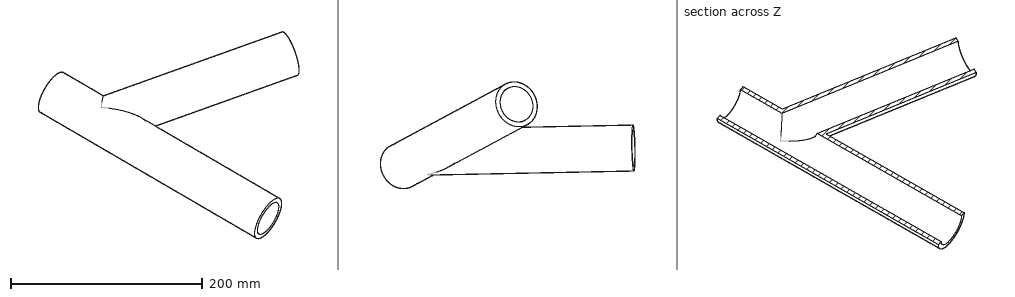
import cadquery as cq
import math

run_length = 279.5
outer_diameter = 48.3
bore_diameter = 38.0
branch_offset = 63.7
branch_angle = 60.0
branch_length = 216.0

angle = math.radians(branch_angle)
run_start = cq.Vector(0, 0, 0)
run_direction = cq.Vector(1, 0, 0)
branch_start = cq.Vector(branch_offset, 0, 0)
branch_direction = cq.Vector(math.cos(angle), math.sin(angle), 0)


def make_pipe_body(diameter):
    """Solid run and branch cylinders of one diameter, joined at their axes."""
    run = cq.Solid.makeCylinder(diameter / 2, run_length, run_start, run_direction)
    branch = cq.Solid.makeCylinder(diameter / 2, branch_length, branch_start, branch_direction)
    return cq.Workplane(obj=run).union(cq.Workplane(obj=branch))


result = make_pipe_body(outer_diameter).cut(make_pipe_body(bore_diameter))